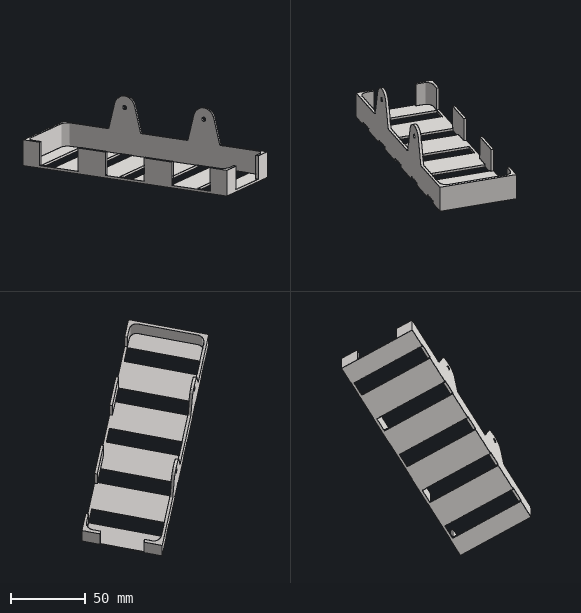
import cadquery as cq
import math

length = 157.0
depth = 55.0
height = 18.0
wall = 2.0
floor = 1.9
corner_radius = 5.0

front_opening = 29.5
front_opening_pitch = 50.9
front_opening_count = 3
end_opening = 29.8

slot_width = 10.0
slot_pitch = 30.0
slot_count = 5

ear_pitch = 60.9
ear_radius = 8.0
ear_foot_half_width = 12.4
ear_foot_fillet = 1.3
ear_hole_diameter = 2.7
overall_height = 42.4
ear_center_z = overall_height - ear_radius


def centered_positions(count, pitch):
    """Evenly spaced X positions, symmetric about the middle of the tray."""
    return [(i - (count - 1) / 2) * pitch for i in range(count)]


def box(size_x, size_y, size_z, x, y, z):
    """Box centred on x and y, with its underside at z."""
    return cq.Workplane("XY").box(size_x, size_y, size_z, centered=(True, True, False)).translate((x, y, z))


def make_tray():
    """Open tray with rounded inner corners, wall openings and floor slots."""
    inner_depth = depth - 2 * wall
    cavity = box(length - 2 * wall, inner_depth, height, 0, 0, floor)
    tray = box(length, depth, height, 0, 0, 0).cut(cavity.edges("|Z").fillet(corner_radius))

    front_wall_y = (wall - depth) / 2
    for x in centered_positions(front_opening_count, front_opening_pitch):
        tray = tray.cut(box(front_opening, wall, height, x, front_wall_y, floor))
    end_wall_x = (length - wall) / 2
    tray = tray.cut(box(wall, end_opening, height, end_wall_x, 0, floor))

    slot_length = depth - wall
    for x in centered_positions(slot_count, slot_pitch):
        tray = tray.cut(box(slot_width, slot_length, floor, x, wall / 2, 0))
    return tray


def ear_outline(x):
    """Closed ear profile: straight flanks tangent to a round top, standing on the back wall."""
    rise = ear_center_z - height
    foot_to_center = math.hypot(ear_foot_half_width, rise)
    foot_angle = math.atan2(-rise, ear_foot_half_width)
    tangent_angle = foot_angle + math.acos(ear_radius / foot_to_center)
    tangent_x = ear_radius * math.cos(tangent_angle)
    tangent_z = ear_center_z + ear_radius * math.sin(tangent_angle)
    return (
        cq.Workplane("XZ", origin=(0, depth / 2, 0))
        .moveTo(x - ear_foot_half_width, height)
        .lineTo(x - tangent_x, tangent_z)
        .threePointArc((x, overall_height), (x + tangent_x, tangent_z))
        .lineTo(x + ear_foot_half_width, height)
        .close()
    )


def blend_ear_feet(body, x):
    """Fillet the two inside corners where an ear meets the top of the back wall."""
    for side in (-1, 1):
        foot = (x + side * ear_foot_half_width, (depth - wall) / 2, height)
        body = body.edges(cq.selectors.NearestToPointSelector(foot)).fillet(ear_foot_fillet)
    return body


result = make_tray()
for ear_x in centered_positions(2, ear_pitch):
    result = result.union(ear_outline(ear_x).extrude(wall))
    result = blend_ear_feet(result, ear_x)
    hole = (
        cq.Workplane("XZ", origin=(0, depth / 2, 0))
        .center(ear_x, ear_center_z)
        .circle(ear_hole_diameter / 2)
        .extrude(wall)
    )
    result = result.cut(hole)